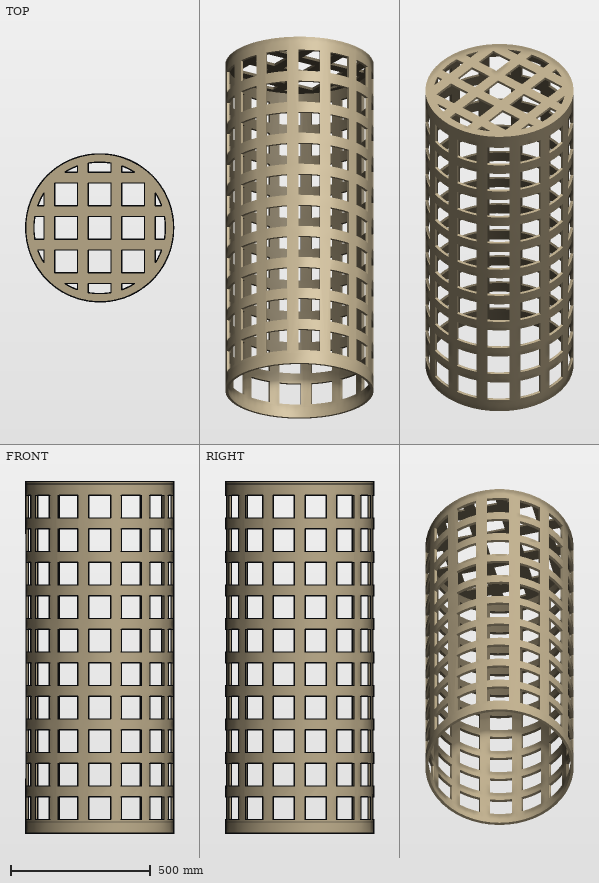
import cadquery as cq

total_height = 1260.0
outer_diameter = 530.0
bore_diameter = 510.0
lid_thickness = 10.0
collar_height = 40.0
tube_height = total_height - lid_thickness

bar_width = 40.0

window_width = 78.0
window_height = 81.0
window_rows = 10
window_columns = 14
sill_height = 10.0
lowest_window_bottom = collar_height + sill_height
highest_window_top = tube_height - bar_width
row_pitch = (highest_window_top - lowest_window_bottom - window_height) / (window_rows - 1)
column_angle = 360 / window_columns
first_column_angle = -90.0
cutter_depth = 50.0

lid_window_size = 81.0
lid_opening_diameter = 470.0
lid_windows_per_side = 5
lid_pitch = row_pitch


def ring(bottom, height):
    """Plain stretch of tube wall standing on the level `bottom`."""
    return (
        cq.Workplane("XY", origin=(0, 0, bottom))
        .circle(outer_diameter / 2)
        .circle(bore_diameter / 2)
        .extrude(height)
    )


def window_cutters():
    """Box cutters for all the windows of the tube wall."""
    cutters = []
    for column in range(window_columns):
        for row in range(window_rows):
            center_z = lowest_window_bottom + window_height / 2 + row * row_pitch
            cutter = (
                cq.Workplane("XY")
                .box(cutter_depth, window_width, window_height)
                .translate((outer_diameter / 2, 0, center_z))
                .rotate((0, 0, 0), (0, 0, 1), first_column_angle + column * column_angle)
            )
            cutters.append(cutter.val())
    return cq.Workplane(cq.Compound.makeCompound(cutters))


def make_tube():
    """Open tube: a wall full of windows above a plain collar."""
    wall = ring(collar_height, tube_height - collar_height).cut(window_cutters())
    collar = ring(0, collar_height)
    return wall.union(collar, clean=False)


def make_lid():
    """Flat round lid on top of the tube, with a grid of windows inside a solid rim."""
    base = cq.Workplane("XY", origin=(0, 0, tube_height))
    disc = base.circle(outer_diameter / 2).extrude(lid_thickness)
    opening = base.circle(lid_opening_diameter / 2).extrude(lid_thickness)
    grid = (
        base.rarray(lid_pitch, lid_pitch, lid_windows_per_side, lid_windows_per_side)
        .rect(lid_window_size, lid_window_size)
        .extrude(lid_thickness)
    )
    return disc.cut(grid.intersect(opening))


tube = make_tube()
lid = make_lid()

result = cq.Compound.makeCompound([tube.val(), lid.val()])